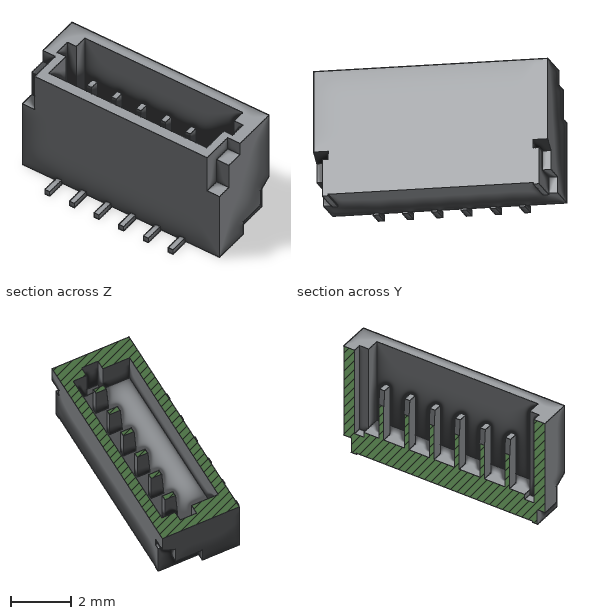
import cadquery as cq


housing_length = 8.0
housing_width = 2.9
housing_height = 4.25
standoff = 0.07
housing_top = standoff + housing_height
front_y = -housing_width / 2
back_y = housing_width / 2

end_wall = 0.8
side_wall = 0.4
cavity_floor = standoff + 1.0
cavity_length = housing_length - 2 * end_wall
cavity_width = housing_width - 2 * side_wall

slot_width = 0.6
slot_back_offset = 0.9
slot_outer_wall = 0.44
slot_floor = cavity_floor - 0.2

notch_length = 0.5
shallow_notch_width = 1.2
shallow_notch_depth = 0.5
deep_notch_width = 0.55
deep_notch_depth = 1.5

recess_depth = 0.5
tab_thickness = 0.2
tab_drop = 0.05
tab_foot_length = 1.5
tab_foot_top = standoff + 0.55
tab_leg_width = 0.5
tab_leg_top = standoff + 1.2
recess_back_top = standoff + 1.48

pin_count = 6
pin_pitch = 1.0
pin_thickness = 0.2
pin_width = 0.48
pin_back_offset = 0.82
pin_top = standoff + 3.0
pin_taper = 0.145
tail_length = 0.7
tail_embed = 0.1
tail_height = 0.2


def box(x_range, y_range, z_range):
    """Box spanning the given (low, high) ranges."""
    sizes = [high - low for low, high in (x_range, y_range, z_range)]
    corner = (x_range[0], y_range[0], z_range[0])
    return cq.Workplane("XY").box(*sizes, centered=False).translate(corner)


def extrude_along_x(outline, x_start, length):
    """Prism of a (y, z) outline running toward +X from x_start."""
    return cq.Workplane("YZ", origin=(x_start, 0, 0)).polyline(outline).close().extrude(length)


def both_ends(left_shape):
    """The shape together with its mirror image at the other end of the housing."""
    return left_shape.union(left_shape.mirror("YZ"))


def make_cavity():
    main = box(
        (-cavity_length / 2, cavity_length / 2),
        (-cavity_width / 2, cavity_width / 2),
        (cavity_floor, housing_top),
    )
    slot_reach = housing_length / 2 - slot_outer_wall
    slot_back = back_y - slot_back_offset
    slot = box(
        (-slot_reach, -cavity_length / 2),
        (slot_back - slot_width, slot_back),
        (slot_floor, housing_top),
    )
    return main.union(both_ends(slot))


def make_corner_notches():
    outline = [
        (front_y, housing_top),
        (front_y, housing_top - deep_notch_depth),
        (front_y + deep_notch_width, housing_top - deep_notch_depth),
        (front_y + deep_notch_width, housing_top - shallow_notch_depth),
        (front_y + shallow_notch_width, housing_top - shallow_notch_depth),
        (front_y + shallow_notch_width, housing_top),
    ]
    return both_ends(extrude_along_x(outline, -housing_length / 2, notch_length))


def tab_outline(bottom, back_top):
    """L profile whose leg rises to back_top at the back face."""
    return [
        (back_y, bottom),
        (back_y - tab_foot_length, bottom),
        (back_y - tab_foot_length, tab_foot_top),
        (back_y - tab_leg_width, tab_foot_top),
        (back_y - tab_leg_width, tab_leg_top),
        (back_y, back_top),
    ]


def make_tab_recesses():
    outline = tab_outline(standoff, recess_back_top)
    return both_ends(extrude_along_x(outline, -housing_length / 2, recess_depth))


def make_tabs():
    outline = tab_outline(standoff - tab_drop, tab_leg_top)
    tab_start = -housing_length / 2 + recess_depth - tab_thickness
    return both_ends(extrude_along_x(outline, tab_start, tab_thickness))


def make_contact(x_center):
    """Pin with a tapered front standing on the cavity floor, and the tail on the same centre."""
    x_start = x_center - pin_thickness / 2
    pin_back = back_y - pin_back_offset
    pin_front = pin_back - pin_width
    pin_outline = [
        (pin_back, cavity_floor),
        (pin_back, pin_top),
        (pin_front + pin_taper, pin_top),
        (pin_front, cavity_floor),
    ]
    pin = extrude_along_x(pin_outline, x_start, pin_thickness)
    tail = box(
        (x_start, x_start + pin_thickness),
        (front_y - tail_length, front_y + tail_embed),
        (0, tail_height),
    )
    return pin, tail


result = box(
    (-housing_length / 2, housing_length / 2),
    (front_y, back_y),
    (standoff, housing_top),
)
result = result.cut(make_cavity()).cut(make_corner_notches()).cut(make_tab_recesses())
result = result.union(make_tabs())
for index in range(pin_count):
    pin, tail = make_contact((index - (pin_count - 1) / 2) * pin_pitch)
    result = result.union(pin).union(tail)